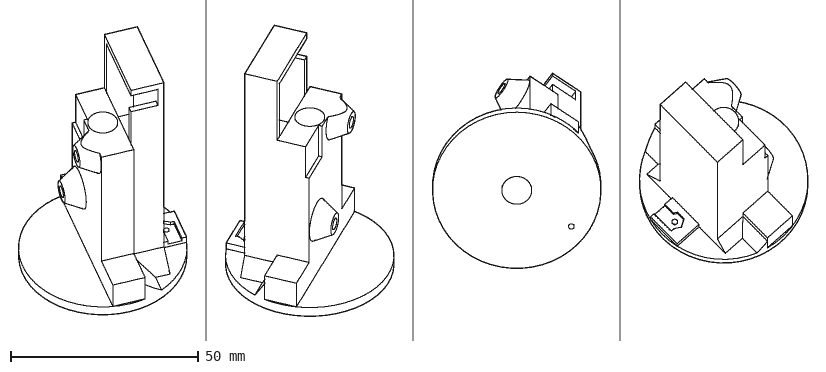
import cadquery as cq

base_diameter = 45.0
base_thickness = 3.0
overall_height = 70.0

column_left = -12.4
front_right = 12.4
back_right = 10.0
front_y = -4.5
mid_y = 4.6
back_y = 13.9
front_top = 50.0

foot_width = 44.0
foot_top = 11.0

bore_diameter = 8.0

pocket_wall = 1.7
pocket_roof = 2.0
pocket_back_wall = 1.7
low_wall_top = 62.0

step_width = 9.9
step_height = 10.4
step_depth = 1.0
step_bottom = front_top - step_height

peg_centers = [(-6.3, 21.0), (6.3, 46.2)]
peg_base_diameter = 11.8
peg_tip_diameter = 6.0
peg_length = 5.0
peg_hole_diameter = 3.15

gusset_height = 5.3
left_gusset_run = 3.06
right_gusset_run = 5.2

tab_half_width = 5.2
tab_height = 2.0
tab_end_y = 21.9
tab_top = base_thickness + tab_height
nut_y = 17.9
nut_corner_diameter = 5.0
nut_depth = 1.0
slot_left = -1.5
slot_below_nut = 1.2
slot_above_nut = 2.67
screw_hole_diameter = 1.5


def block(x_range, y_range, z_range):
    """Axis-aligned box between the given limits."""
    size = [high - low for low, high in (x_range, y_range, z_range)]
    corner = (x_range[0], y_range[0], z_range[0])
    return cq.Workplane("XY").box(*size, centered=False).translate(corner)


def vertical_cylinder(diameter, height, y=0.0):
    """Cylinder standing on the bottom of the part at x = 0."""
    return cq.Workplane("XY").center(0, y).circle(diameter / 2).extrude(height)


def make_column():
    """Low front half and tall back half standing on the foot bar."""
    front = block((column_left, front_right), (front_y, mid_y), (0, front_top))
    back = block((column_left, back_right), (mid_y, back_y), (0, overall_height))
    foot = block((-foot_width / 2, foot_width / 2), (front_y, mid_y), (0, foot_top))
    return front.union(back).union(foot)


def make_pocket():
    """Cavity of the tall half down to the step level, its right side open above the low wall."""
    y_range = (mid_y, back_y - pocket_back_wall)
    z_top = overall_height - pocket_roof
    inner_right = back_right - pocket_wall
    cavity = block((column_left + pocket_wall, inner_right), y_range, (step_bottom, z_top))
    side_opening = block((inner_right, back_right), y_range, (low_wall_top, z_top))
    return cavity.union(side_opening)


def make_step():
    """Recess at the upper left of the front face."""
    return block(
        (column_left, column_left + step_width),
        (front_y, front_y + step_depth),
        (step_bottom, front_top),
    )


def make_peg(x, z):
    """Cone that narrows toward -Y, starting on the front face."""
    base_radius = peg_base_diameter / 2
    tip_radius = peg_tip_diameter / 2
    cone = cq.Solid.makeCone(
        base_radius, tip_radius, peg_length, cq.Vector(x, front_y, z), cq.Vector(0, -1, 0)
    )
    return cq.Workplane(cone)


def make_peg_hole(x, z):
    """Blind hole along the whole length of a peg."""
    hole = cq.Solid.makeCylinder(
        peg_hole_diameter / 2, peg_length, cq.Vector(x, front_y - peg_length, z), cq.Vector(0, 1, 0)
    )
    return cq.Workplane(hole)


def make_gusset(column_x, direction, run):
    """Wedges along the column side and the back of the foot, on the left (-1) or right (+1)."""
    gusset_top = base_thickness + gusset_height
    side_profile = [
        (column_x, base_thickness),
        (column_x + direction * run, base_thickness),
        (column_x, gusset_top),
    ]
    side = cq.Workplane("XZ", origin=(0, mid_y, 0)).polyline(side_profile).close().extrude(mid_y - back_y)
    back_profile = [(mid_y, base_thickness), (mid_y + run, base_thickness), (mid_y, gusset_top)]
    back_length = direction * base_diameter / 2 - column_x
    back = cq.Workplane("YZ", origin=(column_x, 0, 0)).polyline(back_profile).close().extrude(back_length)
    return side.union(back)


def make_tab():
    """Low block behind the column."""
    z_range = (base_thickness, tab_top)
    return block((-tab_half_width, tab_half_width), (back_y, tab_end_y), z_range)


def make_nut_pocket():
    """Hexagonal pocket and its entry slot, sunk into the top of the tab."""
    nut_floor = tab_top - nut_depth
    hexagon = (
        cq.Workplane("XY", origin=(0, nut_y, nut_floor))
        .polygon(6, nut_corner_diameter)
        .extrude(nut_depth)
    )
    slot = block(
        (slot_left, tab_half_width),
        (nut_y - slot_below_nut, nut_y + slot_above_nut),
        (nut_floor, tab_top),
    )
    return hexagon.union(slot)


body = make_column()
body = body.union(make_gusset(column_left, -1, left_gusset_run))
body = body.union(make_gusset(back_right, 1, right_gusset_run))
body = body.union(make_tab())
for peg_x, peg_z in peg_centers:
    body = body.union(make_peg(peg_x, peg_z))
body = body.intersect(vertical_cylinder(base_diameter, overall_height))

peg_trim = block(
    (column_left, front_right), (front_y - peg_length, front_y), (front_top, overall_height)
)

result = vertical_cylinder(base_diameter, base_thickness).union(body)
result = result.cut(peg_trim).cut(make_pocket()).cut(make_step()).cut(make_nut_pocket())
for peg_x, peg_z in peg_centers:
    result = result.cut(make_peg_hole(peg_x, peg_z))
result = result.cut(vertical_cylinder(bore_diameter, front_top))
result = result.cut(vertical_cylinder(screw_hole_diameter, tab_top, nut_y))